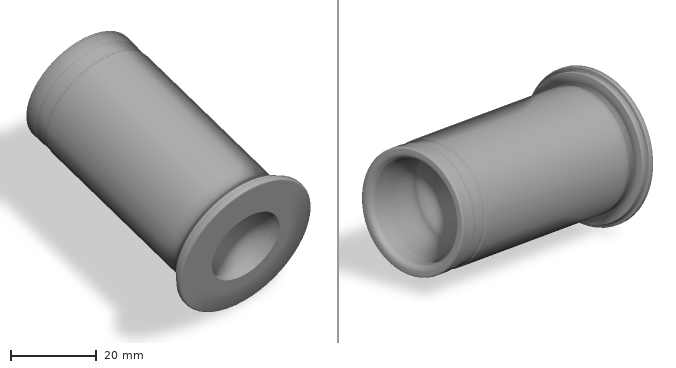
import cadquery as cq
import math

length = 63.5

body_radius = 31.75 / 2
lip_radius = 31.65 / 2
groove_radius = 31.35 / 2
ring_radius = 37 / 2
flange_radius = 39 / 2
bore_radius = 26 / 2
exit_radius = 20 / 2

lip_fillet = 0.5
groove_start = 4.0
groove_end = 8.0
groove_ramp = 0.2

mouth_radius = 27.5 / 2
mouth_half_angle = math.radians(30)
mouth_face_blend = 1.2
mouth_bore_blend = 0.5

cone_start = 16.0
cone_half_angle = math.radians(45)

flange_thickness = 1.5
ring_thickness = 1.5
neck_length = 1.3
neck_taper = 0.75
neck_fillet = 0.4
ring_fillet = 0.2
step_fillet = 0.4
flange_inner_fillet = 0.2
flange_outer_fillet = 0.5

mouth_end = (mouth_radius - bore_radius) / math.tan(mouth_half_angle)
cone_end = cone_start + (bore_radius - exit_radius) / math.tan(cone_half_angle)
flange_start = length - flange_thickness
ring_start = flange_start - ring_thickness
neck_start = ring_start - neck_length
taper_start = neck_start - neck_taper

corners = [
    (0, lip_radius, lip_fillet),
    (groove_start - groove_ramp, lip_radius, 0),
    (groove_start, groove_radius, 0),
    (groove_end, groove_radius, 0),
    (groove_end + groove_ramp, body_radius, 0),
    (taper_start, body_radius, 0),
    (neck_start, groove_radius, 0),
    (ring_start, groove_radius, neck_fillet),
    (ring_start, ring_radius, ring_fillet),
    (flange_start, ring_radius, step_fillet),
    (flange_start, flange_radius, flange_inner_fillet),
    (length, flange_radius, flange_outer_fillet),
    (length, exit_radius, 0),
    (cone_end, exit_radius, 0),
    (cone_start, bore_radius, 0),
    (mouth_end, bore_radius, mouth_bore_blend),
    (0, mouth_radius, mouth_face_blend),
]


def round_corner(before, corner, after, radius):
    """Return the start, middle and end of the arc that rounds one corner of an outline."""
    point = cq.Vector(*corner)
    to_before = (cq.Vector(*before) - point).normalized()
    to_after = (cq.Vector(*after) - point).normalized()
    half_angle = to_before.getAngle(to_after) / 2
    setback = radius / math.tan(half_angle)
    arc_distance = radius / math.sin(half_angle) - radius
    bisector = (to_before + to_after).normalized()
    return point + to_before * setback, point + bisector * arc_distance, point + to_after * setback


def make_profile():
    """Draw the closed half section in the XY plane, with Y as the radius."""
    first_x, first_radius, first_rounding = corners[0]
    profile = cq.Workplane("XY").moveTo(first_x, first_radius - first_rounding)
    for index, (x, radius, rounding) in enumerate(corners):
        if rounding == 0:
            profile = profile.lineTo(x, radius)
            continue
        before = corners[index - 1][:2]
        after = corners[(index + 1) % len(corners)][:2]
        start, middle, end = round_corner(before, (x, radius), after, rounding)
        if index > 0:
            profile = profile.lineTo(start.x, start.y)
        profile = profile.threePointArc(middle.toTuple()[:2], end.toTuple()[:2])
    return profile.close()


axis_start = (0, 0, 0)
axis_end = (1, 0, 0)
result = make_profile().revolve(360, axis_start, axis_end)